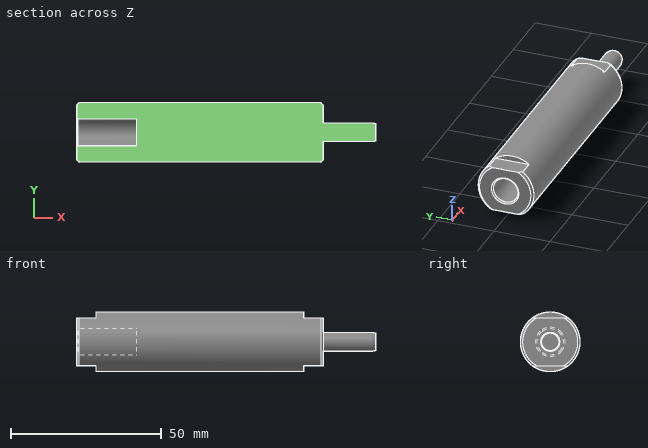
import cadquery as cq

total_length = 99.4
body_length = 81.9
body_diameter = 19.9
body_chamfer = 0.8

pin_diameter = 6.4

pin_chamfer_length = 1.2
pin_chamfer_depth = 0.3

flat_length = 6.5
across_flats = 15.9

bore_diameter = 8.7
bore_depth = 19.9
bore_chamfer = 0.5


def make_body():
    """Round bar with both end rims chamfered."""
    bar = cq.Workplane("YZ").circle(body_diameter / 2).extrude(body_length)
    return bar.faces("<X or >X").chamfer(body_chamfer)


def make_flat_cutters():
    """Blocks that remove the material above and below the flats at each end."""
    flat_depth = (body_diameter - across_flats) / 2
    return (
        cq.Workplane("XY")
        .rarray(body_length - flat_length, 1, 2, 1)
        .box(flat_length, body_diameter, flat_depth)
        .translate((body_length / 2, 0, (across_flats + flat_depth) / 2))
    )


def make_bore():
    """Blind bore with a chamfered mouth, as a solid of revolution about X."""
    radius = bore_diameter / 2
    profile = [
        (0, 0),
        (0, radius + bore_chamfer),
        (bore_chamfer, radius),
        (bore_depth, radius),
        (bore_depth, 0),
    ]
    return cq.Workplane("XY").polyline(profile).close().revolve(360, (0, 0, 0), (1, 0, 0))


def make_pin():
    """Pin with a long, shallow chamfer at its tip."""
    radius = pin_diameter / 2
    profile = [
        (body_length, 0),
        (body_length, radius),
        (total_length - pin_chamfer_length, radius),
        (total_length, radius - pin_chamfer_depth),
        (total_length, 0),
    ]
    return cq.Workplane("XY").polyline(profile).close().revolve(360, (0, 0, 0), (1, 0, 0))


upper_cutters = make_flat_cutters()
lower_cutters = upper_cutters.mirror("XY")

result = make_body().cut(upper_cutters).cut(lower_cutters).cut(make_bore()).union(make_pin())